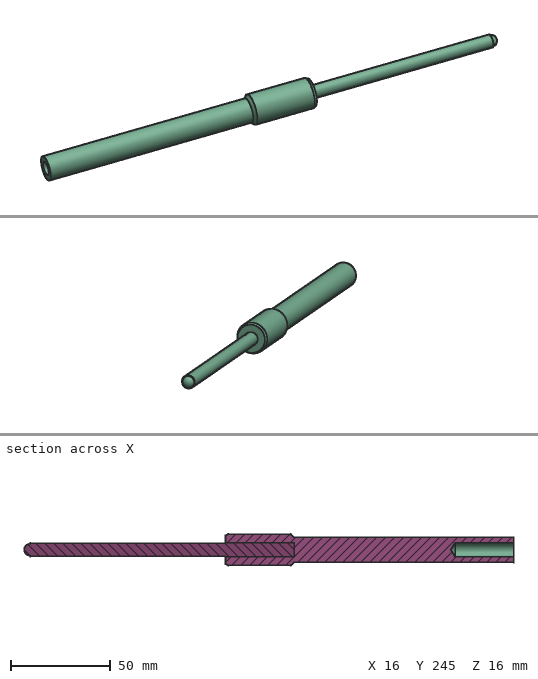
import cadquery as cq
import math

total_length = 245.0
handle_length = 110.0
collar_length = 34.3

collar_diameter = 16.0
handle_diameter = 12.7
rod_diameter = 6.9
dome_diameter = 6.1
bore_diameter = rod_diameter

rear_chamfer_radial = 0.7
rear_chamfer_axial = 1.5
front_chamfer = (collar_diameter - handle_diameter) / 2

bore_depth = 29.5
bore_tip_angle = 118.0
rod_socket_depth = collar_length

front_y = -total_length / 2
rod_tip_y = front_y + total_length
collar_front_y = front_y + handle_length
collar_rear_y = collar_front_y + collar_length
rod_front_y = collar_rear_y - rod_socket_depth


def revolve_about_y(profile):
    """Close a (y, radius) profile drawn in the YZ plane and turn it about the Y axis."""
    return profile.close().revolve(360, (0, 0, 0), (1, 0, 0))


def make_holder():
    """Handle and collar with a drilled front bore and a rear socket for the rod."""
    collar_radius = collar_diameter / 2
    handle_radius = handle_diameter / 2
    bore_radius = bore_diameter / 2
    rod_radius = rod_diameter / 2
    bore_end_y = front_y + bore_depth
    bore_tip_y = bore_end_y + bore_radius / math.tan(math.radians(bore_tip_angle / 2))

    profile = (
        cq.Workplane("YZ")
        .moveTo(front_y, bore_radius)
        .lineTo(front_y, handle_radius)
        .lineTo(collar_front_y, handle_radius)
        .lineTo(collar_front_y + front_chamfer, collar_radius)
        .lineTo(collar_rear_y - rear_chamfer_axial, collar_radius)
        .lineTo(collar_rear_y, collar_radius - rear_chamfer_radial)
        .lineTo(collar_rear_y, rod_radius)
        .lineTo(rod_front_y, rod_radius)
        .lineTo(rod_front_y, 0)
        .lineTo(bore_tip_y, 0)
        .lineTo(bore_end_y, bore_radius)
    )
    return revolve_about_y(profile)


def make_rod():
    """Straight rod seated in the collar, with a narrower hemispherical free end."""
    rod_radius = rod_diameter / 2
    dome_radius = dome_diameter / 2
    dome_start_y = rod_tip_y - dome_radius
    dome_mid = dome_radius * math.sqrt(0.5)

    profile = (
        cq.Workplane("YZ")
        .moveTo(rod_front_y, 0)
        .lineTo(rod_front_y, rod_radius)
        .lineTo(dome_start_y, rod_radius)
        .lineTo(dome_start_y, dome_radius)
        .threePointArc((dome_start_y + dome_mid, dome_mid), (rod_tip_y, 0))
    )
    return revolve_about_y(profile)


holder = make_holder()
rod = make_rod()

result = cq.Compound.makeCompound([holder.val(), rod.val()])